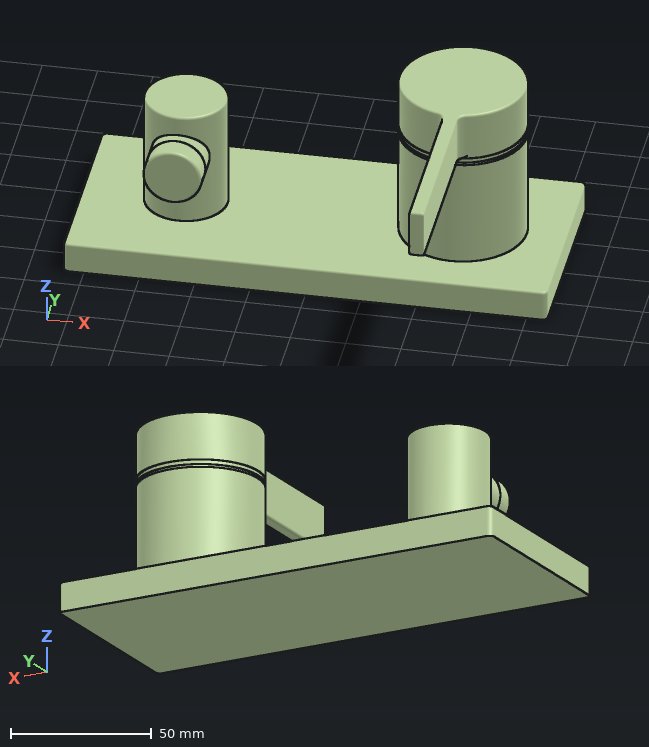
import cadquery as cq
import math

plate_length = 175.0
plate_width = 75.0
plate_height = 11.5
plate_corner_radius = 2.0
edge_radius = 1.0

tower_offset = 50.0
post_radius = 30.1 / 2
post_top = 55.0

outlet_radius = 10.5
outlet_height = 37.1
cap_start = 19.0
cap_end = 27.1

column_radius = 46.2 / 2
column_top = 52.2
ring_step_height = 53.2
ring_step_depth = 0.09
handle_bottom = 55.0
handle_top = 73.2
lever_reach = 126.5 - plate_width / 2
lever_thickness = 5.5
lever_root_radius = 3.8
lever_tip_radius = 0.5


def cylinder(x, radius, bottom, top):
    """Vertical cylinder on the plate's long centre line."""
    return cq.Workplane("XY", origin=(x, 0, bottom)).circle(radius).extrude(top - bottom)


def outlet_cylinder(start, end):
    """Cylinder along -Y between two distances from the post axis."""
    plane = cq.Workplane("XZ", origin=(-tower_offset, -start, outlet_height))
    return plane.circle(outlet_radius).extrude(end - start)


def make_plate():
    block = cq.Workplane("XY").box(plate_length, plate_width, plate_height, centered=(True, True, False))
    return block.edges("|Z").fillet(plate_corner_radius).faces(">Z").edges().fillet(edge_radius)


def make_post():
    post = cylinder(-tower_offset, post_radius, plate_height, post_top)
    post = post.faces(">Z").edges().fillet(edge_radius)
    return post.union(outlet_cylinder(0, cap_start))


def make_outlet_cap():
    return outlet_cylinder(cap_start, cap_end).faces("<Y").edges().fillet(edge_radius)


def make_column():
    return cylinder(tower_offset, column_radius, plate_height, column_top)


def make_ring():
    """Solid spacer disc with a slightly narrower upper section."""
    lower = cylinder(tower_offset, column_radius, column_top, ring_step_height)
    upper = cylinder(tower_offset, column_radius - ring_step_depth, ring_step_height, handle_bottom)
    return lower.union(upper)


def make_handle():
    """Round hub with a straight lever blended into it by two concave arcs."""
    half = lever_thickness / 2
    root_x = half + lever_root_radius
    center_distance = column_radius + lever_root_radius
    root_y = -math.sqrt(center_distance**2 - root_x**2)

    hub_x = root_x * column_radius / center_distance
    hub_y = root_y * column_radius / center_distance

    hub_direction = math.atan2(-root_y, -root_x)
    middle_direction = (hub_direction + math.pi) / 2
    middle_x = root_x + lever_root_radius * math.cos(middle_direction)
    middle_y = root_y + lever_root_radius * math.sin(middle_direction)

    handle = (
        cq.Workplane("XY", origin=(tower_offset, 0, handle_bottom))
        .moveTo(half, -lever_reach)
        .lineTo(half, root_y)
        .threePointArc((middle_x, middle_y), (hub_x, hub_y))
        .threePointArc((0, column_radius), (-hub_x, hub_y))
        .threePointArc((-middle_x, middle_y), (-half, root_y))
        .lineTo(-half, -lever_reach)
        .close()
        .extrude(handle_top - handle_bottom)
    )
    handle = handle.faces("<Y").edges("|Z").fillet(lever_tip_radius)
    return handle.faces(">Z").edges().fillet(edge_radius)


def round_lever_underside(handle):
    """Round the lower outline, then refill the hub so that its lower rim stays sharp."""
    rounded = handle.faces("<Z").edges().fillet(edge_radius)
    hub_core = cylinder(tower_offset, column_radius, handle_bottom, handle_top - edge_radius)
    return rounded.union(hub_core)


plate = make_plate()
post = make_post()
outlet_cap = make_outlet_cap()
column = make_column()
ring = make_ring()
handle = round_lever_underside(make_handle())

result = cq.Compound.makeCompound([
    plate.val(),
    post.val(),
    outlet_cap.val(),
    column.val(),
    ring.val(),
    handle.val(),
])